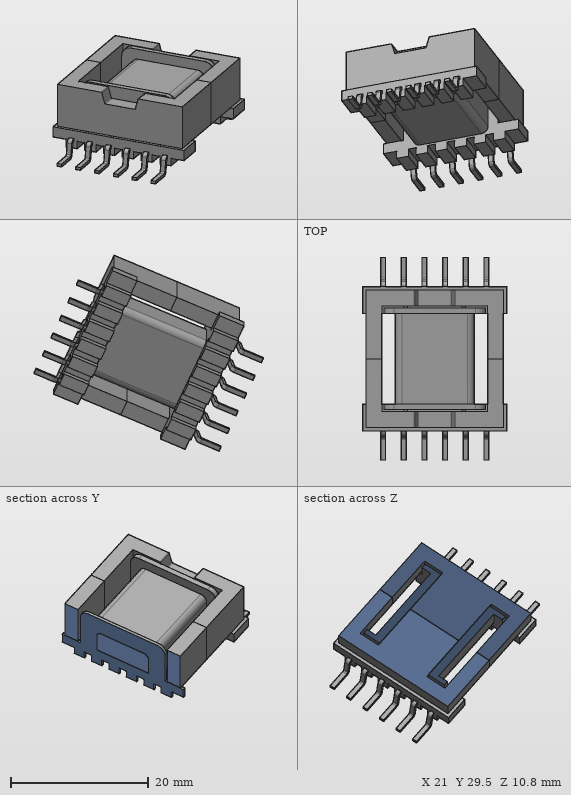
import cadquery as cq
import math

core_side = 20.0
core_bottom = 4.13
core_top = 10.75
window_side = 15.4
leg_width = 8.97
leg_height = 3.8
leg_chamfer = 0.53

notch_top_width = 5.85
notch_floor_width = 4.85
notch_depth = 1.75
notch_round = 0.12

base_side = 21.0
rail_bottom = 2.5
flange_inner_y = 6.58
flange_thickness = 0.83
flange_width = 14.75
flange_top = 10.8
flange_round = 1.45
winding_wall = 1.3
winding_round = 1.03

pins_per_row = 6
pin_pitch = 3.0
standoff_width = 1.8
standoff_bottom = 1.33
pin_width = 0.75
pin_thickness = 0.45
pin_inner_radius = 0.25
pin_bend_angle = math.radians(80)
pin_exit_top = 2.85
pin_embed = 0.6
pin_stub = 0.05
pin_span = 29.5

half_depth = core_side / 2
leg_mid_z = core_bottom + leg_height / 2
pin_positions = [(i - (pins_per_row - 1) / 2) * pin_pitch for i in range(pins_per_row)]


def block(width, y_start, y_end, z_start, z_end, x_mid=0.0):
    """Box centred on x_mid that spans the given Y and Z ranges."""
    depth = y_end - y_start
    height = z_end - z_start
    return (
        cq.Workplane("XY", origin=(x_mid, y_start + depth / 2, z_start))
        .box(width, depth, height, centered=(True, True, False))
    )


def centre_leg(y_start, y_end):
    """Core leg with its two upper corners chamfered."""
    leg = block(leg_width, y_start, y_end, core_bottom, core_bottom + leg_height)
    return leg.edges("|Y and >Z").chamfer(leg_chamfer)


def notch_cutter():
    """Tapered channel that runs along Y through the top of the core."""
    floor_z = core_top - notch_depth
    return (
        cq.Workplane("XZ")
        .moveTo(-notch_floor_width / 2, floor_z)
        .lineTo(notch_floor_width / 2, floor_z)
        .lineTo(notch_top_width / 2, core_top)
        .lineTo(-notch_top_width / 2, core_top)
        .close()
        .extrude(half_depth, both=True)
    )


def core_half():
    """The +Y half of the core: back wall, two side legs and the centre leg."""
    half = block(core_side, 0, half_depth, core_bottom, core_top)
    half = half.cut(block(window_side, 0, window_side / 2, core_bottom, core_top))
    half = half.cut(notch_cutter())
    notch_region = cq.selectors.BoxSelector(
        (-notch_top_width, 0, core_top - 2 * notch_depth),
        (notch_top_width, core_side, core_top + notch_depth),
    )
    half = half.edges(notch_region).edges("|Y").fillet(notch_round)
    return half.union(centre_leg(0, window_side / 2))


def winding():
    """Wound tube between the flanges, with rounded long corners."""
    width = leg_width + 2 * winding_wall
    half_height = leg_height / 2 + winding_wall
    tube = block(
        width, -flange_inner_y, flange_inner_y, leg_mid_z - half_height, leg_mid_z + half_height
    )
    return tube.edges("|Y").fillet(winding_round)


def pin(x_mid):
    """Gull-wing terminal of the +Y row, swept along its centre line."""
    radius = pin_inner_radius + pin_thickness / 2
    bend_run = radius * math.sin(pin_bend_angle)
    bend_drop = radius * (1 - math.cos(pin_bend_angle))
    start_y = base_side / 2 - pin_embed
    bend_y = base_side / 2 + pin_stub
    exit_z = pin_exit_top - pin_thickness / 2
    foot_z = pin_thickness / 2
    slope_drop = exit_z - foot_z - 2 * bend_drop
    slope_run = slope_drop / math.tan(pin_bend_angle)
    slope_y = bend_y + bend_run
    foot_y = slope_y + slope_run + bend_run

    path = (
        cq.Workplane("YZ", origin=(x_mid, 0, 0))
        .moveTo(start_y, exit_z)
        .lineTo(bend_y, exit_z)
        .radiusArc((slope_y, exit_z - bend_drop), radius)
        .lineTo(slope_y + slope_run, foot_z + bend_drop)
        .radiusArc((foot_y, foot_z), -radius)
        .lineTo(pin_span / 2, foot_z)
    )
    section = cq.Workplane("XZ", origin=(x_mid, start_y, exit_z)).rect(pin_width, pin_thickness)
    return section.sweep(path)


def bobbin_end():
    """The +Y end of the bobbin: flange, base rail, standoffs and pins."""
    flange = block(
        flange_width, flange_inner_y, flange_inner_y + flange_thickness, rail_bottom, flange_top
    )
    flange = flange.edges("|Y and >Z").fillet(flange_round)
    end = flange.union(block(base_side, flange_inner_y, base_side / 2, rail_bottom, core_bottom))
    for x_mid in pin_positions:
        standoff = block(
            standoff_width, flange_inner_y, base_side / 2, standoff_bottom, rail_bottom, x_mid
        )
        end = end.union(standoff).union(pin(x_mid))
    return end


def mirrored_end(shape):
    """Copy of a +Y end placed at -Y."""
    return shape.mirror("XZ")


def bobbin():
    """Both ends joined by the winding, with a tunnel for the core legs."""
    end = bobbin_end()
    body = winding().union(end).union(mirrored_end(end))
    return body.cut(centre_leg(-base_side / 2, base_side / 2))


rear_core = core_half()
front_core = mirrored_end(rear_core)
wound_bobbin = bobbin()

result = cq.Compound.makeCompound(
    [rear_core.solids().val(), front_core.solids().val(), wound_bobbin.solids().val()]
)